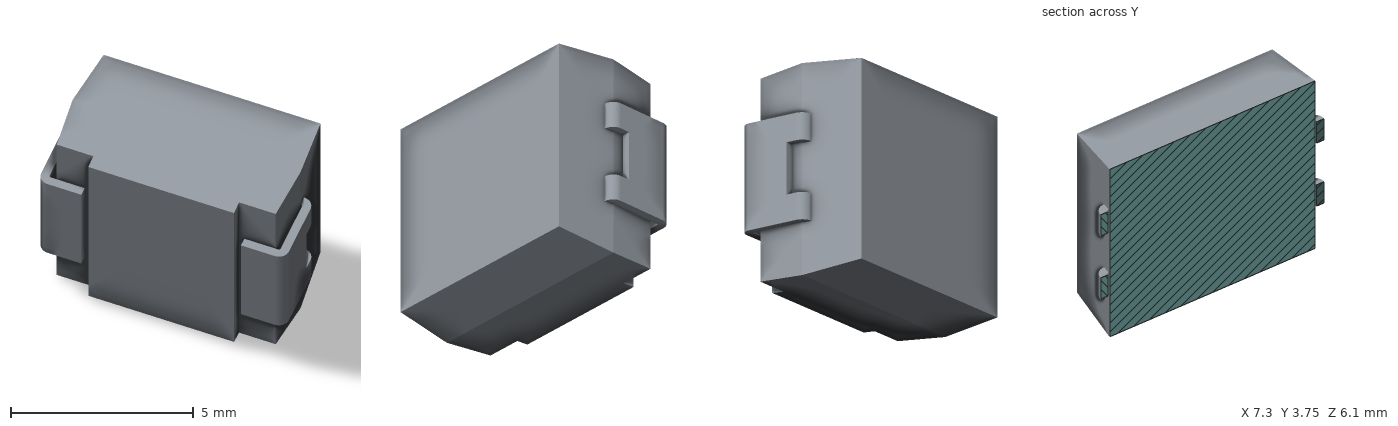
import cadquery as cq
import math

body_width = 6.715
body_height = 6.1
half_depth = 1.875
draft_angle = 5.0
pedestal_width = 4.29
step_depth = 0.37

band_edge_x = -2.065
band_depth = 0.11

overall_width = 7.3
lead_thickness = 0.25
bend_radius = 0.3
bend_inner_radius = bend_radius - lead_thickness
foot_length = 1.3
lead_height = 3.08
notch_height = 1.505
notch_floor_y = -0.315

lead_outer_x = overall_width / 2
lead_inner_x = lead_outer_x - lead_thickness
bend_center_x = lead_outer_x - bend_radius
foot_end_x = lead_outer_x - foot_length
foot_bend_y = bend_radius - half_depth
prong_root_x = body_width / 2 - half_depth * math.tan(math.radians(draft_angle))


def make_half_hull(depth):
    """Drafted block from the parting plane; the sign of depth sets its Y direction."""
    return (
        cq.Workplane("XZ")
        .rect(body_width, body_height)
        .extrude(-depth, taper=draft_angle)
    )


def make_hull():
    """Drafted halves with a step along each side of the front face."""
    hull = make_half_hull(half_depth).union(make_half_hull(-half_depth))
    step_width = (body_width - pedestal_width) / 2
    for side in (-1, 1):
        step = cq.Workplane("XY").box(step_width, step_depth, body_height).translate(
            (side * (pedestal_width + step_width) / 2, step_depth / 2 - half_depth, 0)
        )
        hull = hull.cut(step)
    return hull


def make_band_region():
    """Block that splits the marking band from the hull."""
    band_width = band_edge_x + body_width / 2
    return cq.Workplane("XY").box(band_width, band_depth, body_height).translate(
        (band_edge_x - band_width / 2, half_depth - band_depth / 2, 0)
    )


def make_lead(hull):
    """Lead on the +X side, with two prongs that end on the hull surface."""
    diagonal = math.sqrt(0.5)
    outer_mid = bend_radius * diagonal
    inner_mid = bend_inner_radius * diagonal
    strip = (
        cq.Workplane("XY")
        .moveTo(prong_root_x, bend_radius)
        .lineTo(bend_center_x, bend_radius)
        .threePointArc((bend_center_x + outer_mid, outer_mid), (lead_outer_x, 0))
        .lineTo(lead_outer_x, foot_bend_y)
        .threePointArc(
            (bend_center_x + outer_mid, foot_bend_y - outer_mid), (bend_center_x, -half_depth)
        )
        .lineTo(foot_end_x, -half_depth)
        .lineTo(foot_end_x, lead_thickness - half_depth)
        .lineTo(bend_center_x, lead_thickness - half_depth)
        .threePointArc(
            (bend_center_x + inner_mid, foot_bend_y - inner_mid), (lead_inner_x, foot_bend_y)
        )
        .lineTo(lead_inner_x, 0)
        .threePointArc((bend_center_x + inner_mid, inner_mid), (bend_center_x, bend_inner_radius))
        .lineTo(prong_root_x, bend_inner_radius)
        .close()
        .extrude(lead_height / 2, both=True)
    )
    notch_depth = bend_radius - notch_floor_y
    notch = cq.Workplane("XY").box(2 * foot_length, notch_depth, notch_height).translate(
        (lead_outer_x, notch_floor_y + notch_depth / 2, 0)
    )
    return strip.cut(notch).cut(hull)


hull = make_hull()
band_region = make_band_region()
body = hull.cut(band_region)
marking_band = hull.intersect(band_region)

leads = []
for mirrored in (False, True):
    lead = make_lead(hull)
    if mirrored:
        lead = lead.mirror("YZ")
    leads.extend(lead.solids().vals())

result = cq.Compound.makeCompound([body.solids().val(), marking_band.solids().val(), *leads])